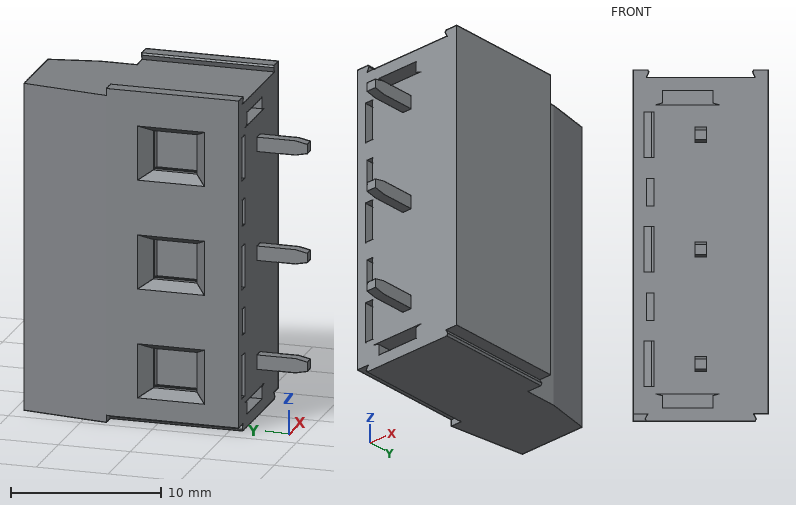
import cadquery as cq
import math

POLES = 3
PITCH = 7.62
HOUSING_HEIGHT = 22.87
MID_HEIGHT = HOUSING_HEIGHT / 2

WIDTH = 9.0
DEPTH = 15.2
SHOULDER_Y = 9.2
SHOULDER_X = 6.94
KINK_Y = 11.75
BACK_LEFT_X = 0.89
BACK_RIGHT_X = 6.3

OVERALL_HEIGHT = 23.35
RAIL_HEIGHT = OVERALL_HEIGHT - HOUSING_HEIGHT
RAIL_TIP_WIDTH = 0.98
RAIL_LIP_WIDTH = 1.05
RAIL_ROOT_WIDTH = 0.89
RAIL_LIP_DROP = 0.15
TONGUE_TIP_INSET = 0.89
TONGUE_LIP_INSET = 0.8
TONGUE_ROOT_INSET = 0.98
TONGUE_LIP_RISE = 0.16

WINDOW_FRONT_Y = 2.38
WINDOW_BACK_Y = 7.03
WINDOW_HEIGHT = 3.78
FUNNEL_DEPTH = 0.89
THROAT_FRONT_Y = 3.18
THROAT_BACK_Y = 6.21
THROAT_HEIGHT = 2.75
WINDOW_DEPTH = 1.4
THROAT_BEVEL_X = 0.19
THROAT_BEVEL_Y = 0.12
SILL_HEIGHT = 0.07

SLOT_DEPTH = 1.87
SLOT_RIGHT_X = 1.38
POLE_SLOT_LEFT_X = 0.72
POLE_SLOT_SLOPE_END_X = 1.21
POLE_SLOT_HEIGHT = 3.01
POLE_SLOT_FLOOR_ANGLE = 25
GAP_SLOT_LEFT_X = 0.89
GAP_SLOT_HEIGHT = 1.82
GAP_SLOT_FLOOR_ANGLE = 32

POCKET_CENTER_X = 3.62
POCKET_HALF_WIDTH = 1.68
POCKET_FLARE_HALF_WIDTH = 2.1
POCKET_OUTER_Z = 0.89
POCKET_INNER_Z = 1.82
POCKET_FLARE_HEIGHT = 0.12
POCKET_DEPTH = 1.87

PIN_CENTER_X = WIDTH / 2
PIN_WIDTH = 0.75
PIN_HEIGHT = 1.0
PIN_LENGTH = 3.5
PIN_TIP_HEIGHT = 0.65
PIN_TAPER_LENGTH = 0.82

pole_heights = [MID_HEIGHT + (i - (POLES - 1) / 2) * PITCH for i in range(POLES)]
gap_heights = [z + PITCH / 2 for z in pole_heights[:-1]]


def extrude_back(points, length):
    """Extrude an (x, z) outline from the pin face toward +Y."""
    return cq.Workplane("XZ").polyline(points).close().extrude(-length)


def extrude_up(points, z_center, height):
    """Extrude an (x, y) outline along Z, centred on z_center."""
    base = cq.Workplane("XY").workplane(offset=z_center - height / 2)
    return base.polyline(points).close().extrude(height)


def mirror_across_width(points):
    return [(WIDTH - x, z) for x, z in points]


def make_housing():
    outline = [
        (0, 0),
        (WIDTH, 0),
        (WIDTH, SHOULDER_Y),
        (SHOULDER_X, SHOULDER_Y),
        (SHOULDER_X, KINK_Y),
        (BACK_RIGHT_X, DEPTH),
        (BACK_LEFT_X, DEPTH),
        (0, SHOULDER_Y),
    ]
    return extrude_up(outline, MID_HEIGHT, HOUSING_HEIGHT)


def add_rails(body):
    rail = [
        (0, HOUSING_HEIGHT),
        (RAIL_ROOT_WIDTH, HOUSING_HEIGHT),
        (RAIL_LIP_WIDTH, OVERALL_HEIGHT - RAIL_LIP_DROP),
        (RAIL_TIP_WIDTH, OVERALL_HEIGHT),
        (0, OVERALL_HEIGHT),
    ]
    for points in (rail, mirror_across_width(rail)):
        body = body.union(extrude_back(points, SHOULDER_Y))
    return body


def cut_tongue_sides(body):
    rebate = [
        (0, 0),
        (TONGUE_TIP_INSET, 0),
        (TONGUE_LIP_INSET, TONGUE_LIP_RISE),
        (TONGUE_ROOT_INSET, RAIL_HEIGHT),
        (0, RAIL_HEIGHT),
    ]
    for points in (rebate, mirror_across_width(rebate)):
        body = body.cut(extrude_back(points, SHOULDER_Y))
    return body


def make_window(z):
    """Wire window: tapered funnel, then a throat with a bevelled back and a low sill at its end."""
    mouth_center_y = (WINDOW_FRONT_Y + WINDOW_BACK_Y) / 2
    throat_center_y = (THROAT_FRONT_Y + THROAT_BACK_Y) / 2
    funnel = (
        cq.Workplane("YZ")
        .center(mouth_center_y, z)
        .rect(WINDOW_BACK_Y - WINDOW_FRONT_Y, WINDOW_HEIGHT)
        .workplane(offset=FUNNEL_DEPTH)
        .center(throat_center_y - mouth_center_y, 0)
        .rect(THROAT_BACK_Y - THROAT_FRONT_Y, THROAT_HEIGHT)
        .loft(ruled=True)
    )
    throat = [
        (FUNNEL_DEPTH, THROAT_FRONT_Y),
        (WINDOW_DEPTH, THROAT_FRONT_Y),
        (WINDOW_DEPTH, THROAT_BACK_Y - THROAT_BEVEL_Y),
        (WINDOW_DEPTH - THROAT_BEVEL_X, THROAT_BACK_Y),
        (FUNNEL_DEPTH, THROAT_BACK_Y),
    ]
    sill_x = WINDOW_DEPTH - THROAT_BEVEL_X
    sill = [
        (sill_x, THROAT_FRONT_Y),
        (WINDOW_DEPTH, THROAT_FRONT_Y),
        (WINDOW_DEPTH, THROAT_BACK_Y),
        (sill_x, THROAT_BACK_Y),
    ]
    sill_z = z - THROAT_HEIGHT / 2 + SILL_HEIGHT / 2
    opening = extrude_up(throat, z, THROAT_HEIGHT).cut(extrude_up(sill, sill_z, SILL_HEIGHT))
    return funnel.union(opening)


def make_slot(z, height, left_x, slope_end_x, floor_angle):
    """Slot whose floor deepens toward -X from slope_end_x and is flat from there to the right wall."""
    rise = (slope_end_x - left_x) * math.tan(math.radians(floor_angle))
    outline = [
        (left_x, 0),
        (SLOT_RIGHT_X, 0),
        (SLOT_RIGHT_X, SLOT_DEPTH),
        (left_x, SLOT_DEPTH + rise),
    ]
    if slope_end_x < SLOT_RIGHT_X:
        outline.insert(3, (slope_end_x, SLOT_DEPTH))
    return extrude_up(outline, z, height)


def make_pocket():
    """Latch pocket at the lower end, flared along its inner edge."""
    flare_z = POCKET_INNER_Z - POCKET_FLARE_HEIGHT
    right_side = [
        (POCKET_HALF_WIDTH, POCKET_OUTER_Z),
        (POCKET_HALF_WIDTH, flare_z),
        (POCKET_FLARE_HALF_WIDTH, POCKET_INNER_Z),
    ]
    left_side = [(-x, z) for x, z in reversed(right_side)]
    outline = [(POCKET_CENTER_X + x, z) for x, z in right_side + left_side]
    return extrude_back(outline, POCKET_DEPTH)


def make_pin(z):
    taper_y = PIN_TAPER_LENGTH - PIN_LENGTH
    outline = [
        (0, z - PIN_HEIGHT / 2),
        (taper_y, z - PIN_HEIGHT / 2),
        (-PIN_LENGTH, z - PIN_TIP_HEIGHT / 2),
        (-PIN_LENGTH, z + PIN_TIP_HEIGHT / 2),
        (taper_y, z + PIN_HEIGHT / 2),
        (0, z + PIN_HEIGHT / 2),
    ]
    base = cq.Workplane("YZ").workplane(offset=PIN_CENTER_X - PIN_WIDTH / 2)
    return base.polyline(outline).close().extrude(PIN_WIDTH)


result = cut_tongue_sides(add_rails(make_housing()))

for pole_z in pole_heights:
    pole_slot = make_slot(
        pole_z, POLE_SLOT_HEIGHT, POLE_SLOT_LEFT_X, POLE_SLOT_SLOPE_END_X, POLE_SLOT_FLOOR_ANGLE
    )
    result = result.cut(make_window(pole_z)).cut(pole_slot).union(make_pin(pole_z))

for gap_z in gap_heights:
    result = result.cut(
        make_slot(gap_z, GAP_SLOT_HEIGHT, GAP_SLOT_LEFT_X, SLOT_RIGHT_X, GAP_SLOT_FLOOR_ANGLE)
    )

lower_pocket = make_pocket()
upper_pocket = lower_pocket.mirror("XY", (0, 0, MID_HEIGHT))
result = result.cut(lower_pocket).cut(upper_pocket)